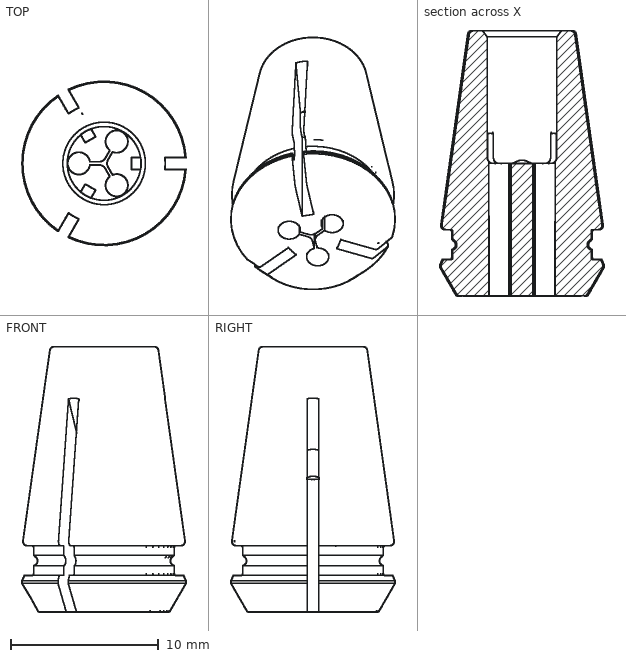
import cadquery as cq
import math


total_height = 18.0
flange_radius = 5.57
flange_bevel_angle = 30.0
flange_rim_bottom = 1.95
flange_rim_top = 2.13
flange_top = 2.5
flange_top_radius = 5.4
end_face_round = 0.2
end_face_radius = flange_radius - flange_rim_bottom * math.tan(math.radians(flange_bevel_angle))

neck_radius = 4.78
neck_top = 4.5
neck_corner_round = 0.1
groove_bottom = 3.15
groove_top = 3.87
groove_lip = 0.12
groove_floor_radius = 4.52

taper_angle = 8.0
taper_top_radius = 3.655
taper_bottom = neck_top
taper_bottom_radius = taper_top_radius + (total_height - taper_bottom) * math.tan(math.radians(taper_angle))
taper_bottom_round = 0.3
top_round = 0.3

bore_radius = 2.5
bore_floor = 9.0
bore_chamfer_width = 0.3
bore_chamfer_depth = 0.42
bore_floor_fillet = 0.4

branch_count = 3
branch_angle = 360.0 / branch_count
relief_hole_radius = 0.75
relief_hole_distance = 1.71
relief_hole_start_angle = 180.0
slit_width = 0.2
jaw_tip_round = 0.5

slot_width = 0.8
slot_start_angle = 0.0
slot_top = 14.5
slot_inner_radius = 1.86
slot_inner_top = 9.7
cut_clearance = 1.0
slot_outer_radius = flange_radius + cut_clearance
slot_top_radius = taper_top_radius + (total_height - slot_top) * math.tan(math.radians(taper_angle))
slot_slope = (slot_top - slot_inner_top) / (slot_top_radius - slot_inner_radius)
slot_outer_top = slot_top + slot_slope * (slot_outer_radius - slot_top_radius)


def around_axis(shape, start_angle):
    """Union of copies of a shape built along +X, spaced evenly about Z."""
    pattern = cq.Workplane("XY")
    for index in range(branch_count):
        angle = start_angle + index * branch_angle
        pattern = pattern.union(shape.rotate((0, 0, 0), (0, 0, 1), angle))
    return pattern


def turned_flange_and_neck():
    groove_arc_top = groove_top - groove_lip
    groove_middle = (groove_bottom + groove_arc_top) / 2
    corner_radius = neck_radius + neck_corner_round
    turned = (
        cq.Workplane("XZ")
        .lineTo(end_face_radius, 0)
        .lineTo(flange_radius, flange_rim_bottom)
        .lineTo(flange_radius, flange_rim_top)
        .lineTo(flange_top_radius, flange_top)
        .lineTo(corner_radius, flange_top)
        .radiusArc((neck_radius, flange_top + neck_corner_round), neck_corner_round)
        .lineTo(neck_radius, groove_bottom)
        .threePointArc((groove_floor_radius, groove_middle), (neck_radius - groove_lip, groove_arc_top))
        .lineTo(neck_radius, groove_top)
        .lineTo(neck_radius, neck_top - neck_corner_round)
        .radiusArc((corner_radius, neck_top), neck_corner_round)
        .lineTo(0, neck_top)
        .close()
        .revolve(360, (0, 0), (0, 1))
    )
    return turned.faces("<Z").edges().fillet(end_face_round)


def tapered_shank():
    shank = (
        cq.Workplane("XZ")
        .moveTo(0, taper_bottom)
        .lineTo(taper_bottom_radius, taper_bottom)
        .lineTo(taper_top_radius, total_height)
        .lineTo(0, total_height)
        .close()
        .revolve(360, (0, 0), (0, 1))
    )
    return shank.faces(">Z").edges().fillet(top_round).faces("<Z").edges().fillet(taper_bottom_round)


def bore():
    depth = total_height - bore_floor
    cylinder = cq.Workplane("XY").workplane(offset=bore_floor).circle(bore_radius).extrude(depth)
    cylinder = cylinder.faces("<Z").edges().fillet(bore_floor_fillet)
    mouth = (
        cq.Workplane("XZ")
        .moveTo(0, total_height - bore_chamfer_depth)
        .lineTo(bore_radius, total_height - bore_chamfer_depth)
        .lineTo(bore_radius + bore_chamfer_width, total_height)
        .lineTo(0, total_height)
        .close()
        .revolve(360, (0, 0), (0, 1))
    )
    return cylinder.union(mouth)


def jaw_slits():
    cut_height = bore_floor + bore_floor_fillet
    slit = (
        cq.Workplane("XY")
        .rect(relief_hole_distance, slit_width)
        .extrude(cut_height)
        .translate((relief_hole_distance / 2, 0, 0))
    )
    slits = around_axis(slit, relief_hole_start_angle)
    near_axis = cq.selectors.BoxSelector(
        (-slit_width, -slit_width, 0), (slit_width, slit_width, cut_height)
    )
    slits = slits.edges("|Z").edges(near_axis).fillet(jaw_tip_round)
    hole = (
        cq.Workplane("XY")
        .center(relief_hole_distance, 0)
        .circle(relief_hole_radius)
        .extrude(cut_height)
    )
    return slits.union(around_axis(hole, relief_hole_start_angle))


def flexing_slots():
    slot = (
        cq.Workplane("XZ")
        .moveTo(slot_inner_radius, 0)
        .lineTo(slot_outer_radius, 0)
        .lineTo(slot_outer_radius, slot_outer_top)
        .lineTo(slot_inner_radius, slot_inner_top)
        .close()
        .extrude(slot_width / 2, both=True)
    )
    return around_axis(slot, slot_start_angle)


body = turned_flange_and_neck().union(tapered_shank())
result = body.cut(bore()).cut(jaw_slits()).cut(flexing_slots())